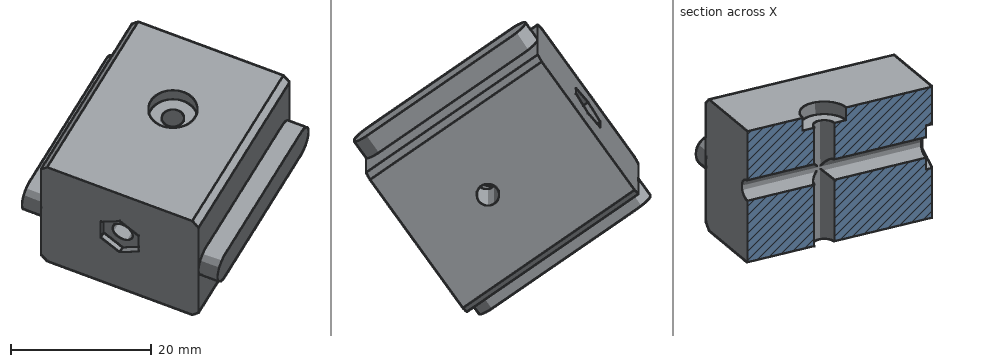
import cadquery as cq
import math

overall_width = 31.0
length = 30.0
height = 21.0
rail_projection = 3.0
rail_height = 5.0
edge_chamfer = 1.0
bore_diameter = 3.2

counterbore_diameter = 7.0
counterbore_depth = 2.0
screw_y = 2.5

hex_flat_width = 6.0
hex_depth = 1.0
nut_z = 1.0

body_width = overall_width - 2 * rail_projection


def make_body():
    """Block centred on the origin, with its four lengthwise edges chamfered."""
    return cq.Workplane("XY").box(body_width, length, height).edges("|Y").chamfer(edge_chamfer)


def make_rails():
    """Round-ended bar running through the block and standing out on both sides."""
    return cq.Workplane("YZ").slot2D(length, rail_height).extrude(overall_width / 2, both=True)


def cut_screw_hole(body):
    """Counterbored hole down through the whole block."""
    return (
        body.faces(">Z")
        .workplane(origin=(0, screw_y, 0))
        .cboreHole(bore_diameter, counterbore_diameter, counterbore_depth)
    )


def cut_nut_hole(body):
    """Hole along the full length, opening into a hexagonal pocket with corners up and down."""
    front = cq.Workplane("XZ", origin=(0, -length / 2, nut_z))
    bore = front.circle(bore_diameter / 2).extrude(-length)
    corner_radius = hex_flat_width / math.sqrt(3)
    corners = [
        (corner_radius * math.sin(i * math.pi / 3), corner_radius * math.cos(i * math.pi / 3))
        for i in range(6)
    ]
    pocket = front.polyline(corners).close().extrude(-hex_depth)
    return body.cut(bore).cut(pocket)


block = make_body().union(make_rails())
result = cut_nut_hole(cut_screw_hole(block))